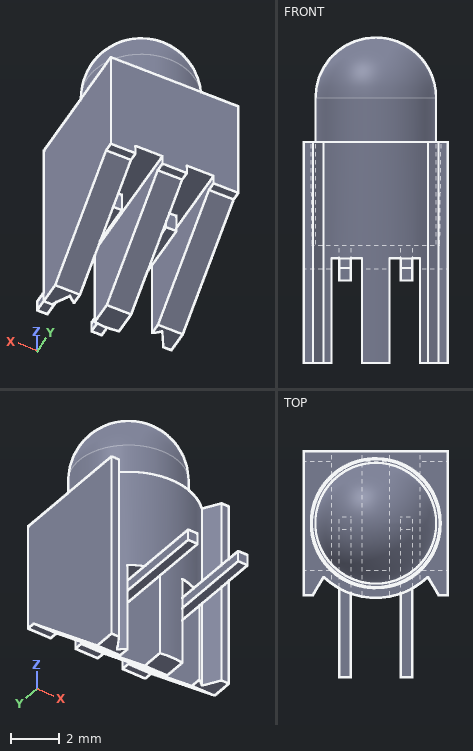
import cadquery as cq
import math

housing_width = 5.96
housing_height = 9.14
half_width = housing_width / 2
barrel_radius = 3.09
notch_x = 2.15
ear_width = 0.38
ear_inner_x = half_width - ear_width

back_height = 3.88
back_strip = 0.42
foot_back_y = -1.96

channel_top = 4.33
channel_inner_x = 0.57
channel_outer_x = 1.82

bore_top_radius = 2.69
bore_floor_radius = 2.64
bore_floor_z = 4.86

overall_height = 13.46
overall_depth = 9.35
lens_radius = 2.5
dome_base_z = overall_height - lens_radius
lead_width = 0.48
lead_thickness = 0.53
lead_pitch = 2.54
lead_top_z = 3.94
lead_tip_y = half_width - overall_depth


def build_lead(side):
    """One rectangular lead: straight down from the lens, then forward."""
    x = side * lead_pitch / 2
    half_lead = lead_thickness / 2
    lead_bottom_z = lead_top_z - lead_thickness
    return (
        cq.Workplane("YZ", origin=(x - lead_width / 2, 0, 0))
        .moveTo(half_lead, bore_floor_z)
        .lineTo(half_lead, lead_bottom_z)
        .lineTo(lead_tip_y, lead_bottom_z)
        .lineTo(lead_tip_y, lead_top_z)
        .lineTo(-half_lead, lead_top_z)
        .lineTo(-half_lead, bore_floor_z)
        .close()
        .extrude(lead_width)
    )


def build_led():
    """Cylindrical lens with a hemispherical top, joined to its two leads."""
    dome_mid = lens_radius * math.sqrt(0.5)
    led = (
        cq.Workplane("XZ")
        .moveTo(0, bore_floor_z)
        .lineTo(lens_radius, bore_floor_z)
        .lineTo(lens_radius, dome_base_z)
        .threePointArc((dome_mid, dome_base_z + dome_mid), (0, overall_height))
        .close()
        .revolve(360, (0, 0, 0), (0, 1, 0))
    )
    for side in (-1, 1):
        led = led.union(build_lead(side))
    return led


def build_block():
    """Upright block with a rounded front barrel between two notches."""
    notch_y = -math.sqrt(barrel_radius**2 - notch_x**2)
    return (
        cq.Workplane("XY")
        .moveTo(-half_width, half_width)
        .lineTo(-half_width, -half_width)
        .lineTo(-ear_inner_x, -half_width)
        .lineTo(-notch_x, notch_y)
        .threePointArc((0, -barrel_radius), (notch_x, notch_y))
        .lineTo(ear_inner_x, -half_width)
        .lineTo(half_width, -half_width)
        .lineTo(half_width, half_width)
        .close()
        .extrude(housing_height)
    )


def build_underside_cut():
    """Space under the flat back strip and the slope down to the foot."""
    return (
        cq.Workplane("YZ", origin=(-half_width, 0, 0))
        .moveTo(foot_back_y, 0)
        .lineTo(half_width - back_strip, back_height)
        .lineTo(half_width, back_height)
        .lineTo(half_width, 0)
        .close()
        .extrude(housing_width)
    )


def build_channel(side):
    """One channel through the underside, from front to back."""
    channel_width = channel_outer_x - channel_inner_x
    channel_center_x = side * (channel_inner_x + channel_outer_x) / 2
    return (
        cq.Workplane("XY")
        .center(channel_center_x, 0)
        .rect(channel_width, 2 * barrel_radius)
        .extrude(channel_top)
    )


def build_bore():
    """Slightly tapered bore, widest at the top of the housing."""
    return (
        cq.Workplane("XY", origin=(0, 0, bore_floor_z))
        .circle(bore_floor_radius)
        .workplane(offset=housing_height - bore_floor_z)
        .circle(bore_top_radius)
        .loft()
    )


def build_lead_hole(side):
    """Rectangular hole through the bore floor that a lead fills."""
    return (
        cq.Workplane("XY", origin=(side * lead_pitch / 2, 0, channel_top))
        .rect(lead_width, lead_thickness)
        .extrude(bore_floor_z - channel_top)
    )


def build_housing():
    housing = build_block().cut(build_underside_cut()).cut(build_bore())
    for side in (-1, 1):
        housing = housing.cut(build_channel(side)).cut(build_lead_hole(side))
    return housing


housing = build_housing()
led = build_led()

result = cq.Compound.makeCompound([housing.solids().val(), led.solids().val()])